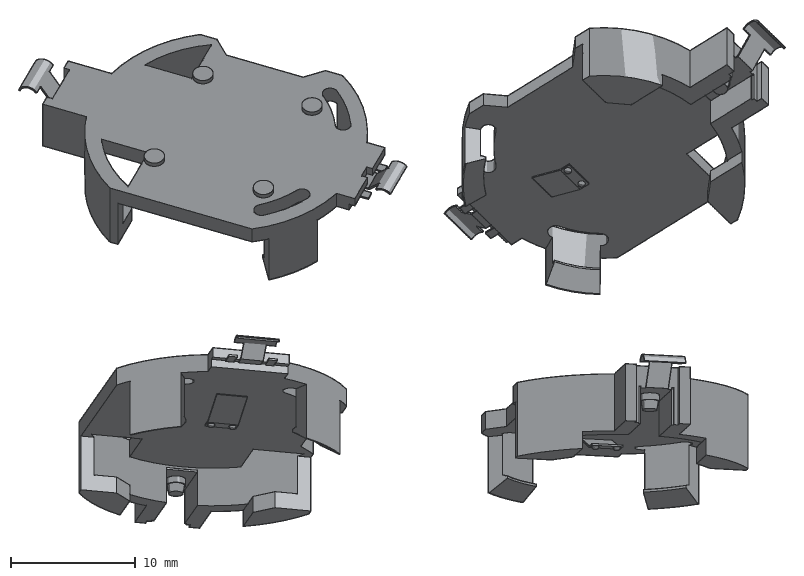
import cadquery as cq
import math


body_radius = 11.35
body_width = 19.05
plate_thickness = 1.46
cell_radius = 10.05
wall_bottom = -4.70
leg_bottom = -6.08
left_wall_end = -5.47

edge_notch_depth = 1.38
edge_notch_half_floor = 3.33

left_arm_end = -14.82
left_arm_width = 5.36
arm_recess_depth = 0.49
arm_recess_width = 3.58
passage_top = -1.66
passage_width = 2.54
passage_mouth_width = 2.86
passage_mouth_depth = 0.2

right_arm_end = 12.48
right_arm_width = 6.34
overhang_length = 0.5
overhang_thickness = 0.82
sight_notch_width = 1.1

bump_radius = 0.82
bump_height = 0.37
bump_left_x = -4.12
bump_right_x = 5.35
bump_y = 5.12

window_x = -4.88
window_y = 4.6
ledge_y = 5.1
ledge_corner_cut = 1.46

slot_inner_radius = 8.8
leg_start_angle = 27.3
leg_sweep = 22.7
hook_radius = 9.62
hook_top = -4.73
hook_tip_top = -4.85
hook_tip_bottom = -5.05
leg_tip_inner_radius = 11.25

sheet = 0.15
spring_radius = 0.9
spring_top = 0.45
spring_width = 3.42
neck_width = 1.85
left_spring_x = 16.44
left_spring_slope = 55
left_spring_end_angle = 13
right_spring_x = 14.32
right_spring_slope = 45
right_spring_end_angle = 41
left_strip_end = -10.0
right_tab_end = 13.17
right_tab_y = 1.65
right_tab_width = 0.7
right_strip_start = 11.0

peg_x = -12.0
peg_radius = 0.78
peg_shoulder = -2.35
peg_tip_base_radius = 0.70
peg_tip_radius = 0.58
peg_bottom = -3.05

tongue_root_x = 6.35
tongue_bend_x = 3.4
tongue_end_x = 2.5
tongue_end_z = -2.67
tongue_width = 2.54
dimple_x = 2.95
dimple_y = 0.88
dimple_radius = 0.3
dimple_depth = 0.21


def block(x_from, x_to, width, z_from, z_to, y_mid=0):
    """Box between two X and two Z limits, centred on y_mid."""
    return (
        cq.Workplane("XY", origin=((x_from + x_to) / 2, y_mid, z_from))
        .box(abs(x_to - x_from), width, z_to - z_from, centered=(True, True, False))
    )


def disc(radius, z_from, z_to, x=0, y=0):
    return cq.Workplane("XY", origin=(x, y, z_from)).circle(radius).extrude(z_to - z_from)


def polar(radius, angle):
    return radius * math.cos(math.radians(angle)), radius * math.sin(math.radians(angle))


def both_sides(half):
    """A feature together with its mirror image across the XZ plane."""
    return half.union(half.mirror("XZ"))


def flattened_disc(z_from, z_to):
    flats = block(-body_radius, body_radius, body_width, z_from, z_to)
    return disc(body_radius, z_from, z_to).intersect(flats)


def make_plate():
    plate = flattened_disc(-plate_thickness, 0)
    right_arm = block(0, right_arm_end, right_arm_width, -plate_thickness, 0)
    undercut = block(
        right_arm_end - overhang_length, right_arm_end, right_arm_width,
        -plate_thickness, -overhang_thickness,
    )
    sight_notch = block(
        right_arm_end - overhang_length, right_arm_end, sight_notch_width, -overhang_thickness, 0
    )
    edge = body_width / 2
    half_mouth = edge_notch_half_floor + edge_notch_depth
    edge_notch = (
        cq.Workplane("XY")
        .polyline([
            (-half_mouth, edge),
            (-edge_notch_half_floor, edge - edge_notch_depth),
            (edge_notch_half_floor, edge - edge_notch_depth),
            (half_mouth, edge),
        ])
        .close()
        .extrude(-plate_thickness)
    )
    return plate.union(right_arm).cut(undercut).cut(sight_notch).cut(edge_notch)


def make_left_wall():
    """Curved wall around the cell, the arm, and the deeper wall with the cell ledges."""
    wall = flattened_disc(wall_bottom, 0)
    wall = wall.union(block(left_arm_end, 0, left_arm_width, wall_bottom, 0))
    wall = wall.intersect(block(left_arm_end, left_wall_end, body_width, wall_bottom, 0))
    wall = wall.cut(disc(cell_radius, wall_bottom, -plate_thickness))

    ledge_side = body_width / 2 - ledge_y
    ledge = flattened_disc(leg_bottom, wall_bottom).intersect(
        block(
            -body_radius, left_wall_end, ledge_side, leg_bottom, wall_bottom,
            ledge_y + ledge_side / 2,
        )
    )
    corner = (
        cq.Workplane("XY", origin=(left_wall_end, ledge_y, leg_bottom))
        .polyline([(0, 0), (-ledge_corner_cut, 0), (0, ledge_corner_cut)])
        .close()
        .extrude(wall_bottom - leg_bottom)
    )
    return wall.union(both_sides(ledge.cut(corner)))


def make_arm_cuts():
    recess_x = left_arm_end + arm_recess_depth
    recess = block(left_arm_end, recess_x, arm_recess_width, wall_bottom, 0)
    mouth = block(
        recess_x, recess_x + passage_mouth_depth, passage_mouth_width, wall_bottom, passage_top
    )
    passage = block(recess_x, -cell_radius / 2, passage_width, wall_bottom, passage_top)
    return recess.union(mouth).union(passage)


def make_windows():
    corner_block = block(
        -cell_radius, window_x, cell_radius - window_y, -plate_thickness, 0,
        (cell_radius + window_y) / 2,
    )
    return both_sides(corner_block.intersect(disc(cell_radius, -plate_thickness, 0)))


def make_slots():
    mid_radius = (slot_inner_radius + cell_radius) / 2
    end_radius = (cell_radius - slot_inner_radius) / 2
    end_angle = leg_start_angle + leg_sweep
    mid_angle = leg_start_angle + leg_sweep / 2
    slot = (
        cq.Workplane("XY")
        .moveTo(*polar(slot_inner_radius, leg_start_angle))
        .threePointArc(polar(slot_inner_radius, mid_angle), polar(slot_inner_radius, end_angle))
        .lineTo(*polar(cell_radius, end_angle))
        .threePointArc(polar(cell_radius, mid_angle), polar(cell_radius, leg_start_angle))
        .close()
        .extrude(-plate_thickness)
    )
    for angle in (leg_start_angle, end_angle):
        x, y = polar(mid_radius, angle)
        slot = slot.union(disc(end_radius, -plate_thickness, 0, x, y))
    return both_sides(slot)


def make_hooked_legs():
    """Arc-shaped legs, each with an inward hook and a lead-in slope."""
    ring = (
        cq.Workplane("XZ")
        .polyline([
            (cell_radius, -plate_thickness),
            (body_radius, -plate_thickness),
            (body_radius, leg_bottom),
            (leg_tip_inner_radius, leg_bottom),
            (hook_radius, hook_tip_bottom),
            (hook_radius, hook_tip_top),
            (cell_radius, hook_top),
        ])
        .close()
        .revolve(360, (0, 0, 0), (0, 1, 0))
    )
    wedge_reach = 2 * body_radius
    wedge = (
        cq.Workplane("XY", origin=(0, 0, leg_bottom))
        .polyline([
            (0, 0),
            polar(wedge_reach, leg_start_angle),
            polar(wedge_reach, leg_start_angle + leg_sweep),
        ])
        .close()
        .extrude(-leg_bottom)
    )
    leg = ring.intersect(wedge)
    return both_sides(leg)


def make_bumps():
    bumps = disc(bump_radius, 0, bump_height, bump_left_x, bump_y)
    bumps = bumps.union(disc(bump_radius, 0, bump_height, bump_right_x, bump_y))
    return both_sides(bumps)


def sheet_profile(outline, width):
    """Extrude an XZ outline symmetrically about the XZ plane."""
    return outline.close().extrude(width / 2, both=True)


def make_spring(spring_x, slope, end_angle, foot_z):
    """Curled spring end towards +X on a sloping neck that runs down to foot_z."""
    centre_z = spring_top - spring_radius
    inner_radius = spring_radius - sheet
    start_angle = 90 + slope
    mid_angle = (start_angle + end_angle) / 2

    def curl_point(radius, angle):
        x, z = polar(radius, angle)
        return spring_x + x, centre_z + z

    def foot_point(top):
        return top[0] - (top[1] - foot_z) / math.tan(math.radians(slope)), foot_z

    outer_start = curl_point(spring_radius, start_angle)
    inner_start = curl_point(inner_radius, start_angle)
    curl = (
        cq.Workplane("XZ")
        .moveTo(*outer_start)
        .threePointArc(curl_point(spring_radius, mid_angle), curl_point(spring_radius, end_angle))
        .lineTo(*curl_point(inner_radius, end_angle))
        .threePointArc(curl_point(inner_radius, mid_angle), inner_start)
    )
    neck = cq.Workplane("XZ").polyline(
        [outer_start, inner_start, foot_point(inner_start), foot_point(outer_start)]
    )
    return sheet_profile(curl, spring_width).union(sheet_profile(neck, neck_width))


def make_left_contact():
    strip_bottom = passage_top - sheet
    spring = make_spring(
        left_spring_x, left_spring_slope, left_spring_end_angle, strip_bottom
    ).mirror("YZ")
    recess_x = left_arm_end + arm_recess_depth
    strip = block(recess_x, left_strip_end, passage_width, strip_bottom, passage_top)
    foot = block(left_arm_end + arm_recess_depth / 2, recess_x, neck_width, strip_bottom, passage_top)
    peg = disc(peg_radius, peg_shoulder, passage_top, peg_x)
    peg_tip = (
        cq.Workplane("XY", origin=(peg_x, 0, peg_shoulder))
        .circle(peg_tip_base_radius)
        .workplane(offset=peg_bottom - peg_shoulder)
        .circle(peg_tip_radius)
        .loft(ruled=True)
    )
    return spring.union(foot).union(strip).union(peg).union(peg_tip)


def make_right_contact():
    strip_top = -overhang_thickness + sheet / 2
    strip_bottom = strip_top - sheet
    contact = make_spring(right_spring_x, right_spring_slope, right_spring_end_angle, strip_bottom)
    neck_foot_x = right_arm_end + overhang_length / 2
    contact = contact.union(
        block(right_strip_start, neck_foot_x, neck_width, strip_bottom, strip_top)
    )
    tab = block(
        right_strip_start, right_tab_end, right_tab_width, strip_bottom, strip_top, right_tab_y
    )
    return contact.union(both_sides(tab))


def make_tongue():
    root_z = -plate_thickness + sheet / 2
    outline = cq.Workplane("XZ").polyline([
        (tongue_root_x, root_z),
        (tongue_bend_x, tongue_end_z),
        (tongue_end_x, tongue_end_z),
        (tongue_end_x, tongue_end_z - sheet),
        (tongue_bend_x, tongue_end_z - sheet),
        (tongue_root_x, root_z - sheet),
    ])
    dimple_top = tongue_end_z - sheet / 2
    dimple_bottom = tongue_end_z - sheet - dimple_depth
    dimple = disc(dimple_radius, dimple_bottom, dimple_top, dimple_x, dimple_y)
    dimple = dimple.faces("<Z").edges().fillet(dimple_depth)
    return sheet_profile(outline, tongue_width).union(both_sides(dimple))


result = make_plate().union(make_left_wall())
result = result.cut(make_arm_cuts()).cut(make_windows()).cut(make_slots())
result = result.union(make_hooked_legs()).union(make_bumps())
result = result.union(make_left_contact()).union(make_right_contact()).union(make_tongue())